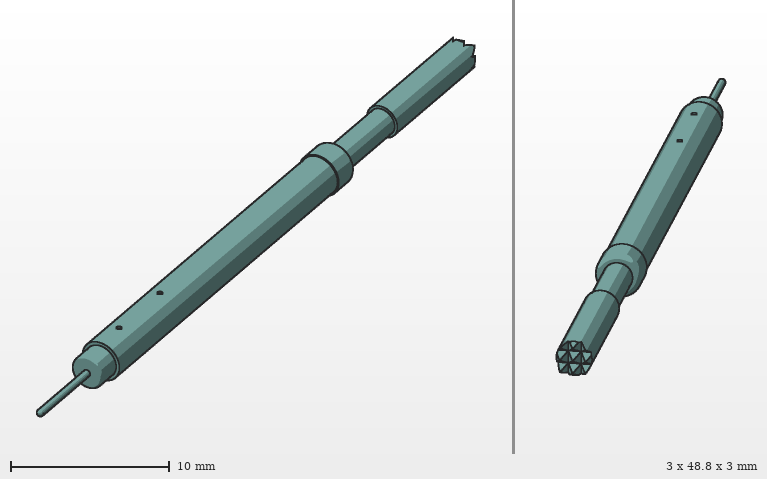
import cadquery as cq

total_length = 48.8

pin_diameter = 0.5
stub_diameter = 2.3
body_diameter = 2.8
collar_diameter = 3.0
neck_diameter = 1.9
head_diameter = 2.3

stub_start = 5.55
body_start = 7.15
collar_start = 32.15
collar_end = 34.05
head_start = 39.4

pin_dome_height = 0.2
stub_fillet = 0.15
collar_fillet = 0.4

point_pitch = 0.85
groove_depth = 0.75
grooves_per_direction = 4

dimple_diameter = 0.35
dimple_depth = 0.15
dimple_positions = (9.2, 13.9)


def section(start, end, diameter):
    """Solid cylinder on the Y axis from start to end."""
    base = cq.Plane(origin=(0, start, 0), xDir=(1, 0, 0), normal=(0, 1, 0))
    return cq.Workplane(base).circle(diameter / 2).extrude(end - start)


def domed_pin():
    """Thin tail pin ending in a shallow spherical dome at Y = 0."""
    radius = pin_diameter / 2
    dome_radius = (radius**2 + pin_dome_height**2) / (2 * pin_dome_height)
    dome = cq.Workplane("XY").sphere(dome_radius).translate((0, dome_radius, 0))
    shank = section(pin_dome_height, stub_start, pin_diameter)
    tip = section(0, pin_dome_height, pin_diameter).intersect(dome)
    return shank.union(tip)


def head_groove(offset):
    """V groove running along Z, opening at the head tip, centred at X = offset."""
    bottom = total_length - groove_depth
    half_width = point_pitch / 2
    return (
        cq.Workplane("XY")
        .moveTo(offset, bottom)
        .lineTo(offset + half_width, total_length)
        .lineTo(offset - half_width, total_length)
        .close()
        .extrude(head_diameter, both=True)
    )


def serrated_head():
    head = section(head_start, total_length, head_diameter)
    for index in range(grooves_per_direction):
        offset = (index - (grooves_per_direction - 1) / 2) * point_pitch
        groove = head_groove(offset)
        head = head.cut(groove)
        head = head.cut(groove.rotate((0, 0, 0), (0, 1, 0), 90))
    return head


def dimple(position):
    """Round pocket cutter reaching dimple_depth below the top of the body."""
    floor = body_diameter / 2 - dimple_depth
    return (
        cq.Workplane("XY", origin=(0, position, floor))
        .circle(dimple_diameter / 2)
        .extrude(2 * dimple_depth)
    )


pin = domed_pin()
stub = section(stub_start, body_start, stub_diameter).faces("<Y").fillet(stub_fillet)
body = section(body_start, collar_start, body_diameter)
for dimple_position in dimple_positions:
    body = body.cut(dimple(dimple_position))
collar = section(collar_start, collar_end, collar_diameter).faces(">Y").fillet(collar_fillet)
neck = section(collar_end, head_start, neck_diameter)

result = pin.union(stub).union(body).union(collar).union(neck).union(serrated_head())